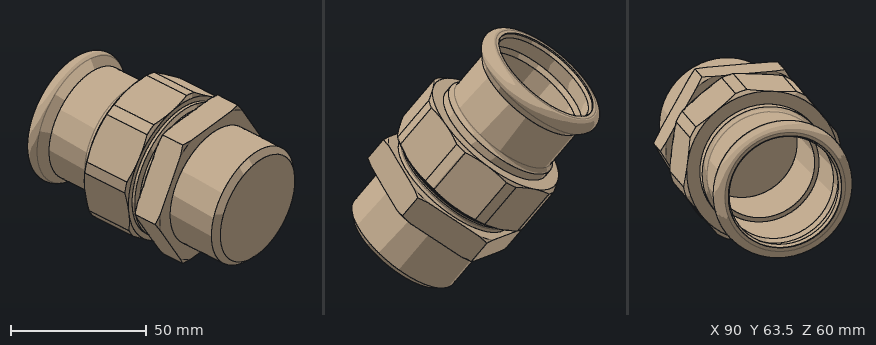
import cadquery as cq
import math

overall_length = 90.0

bead_radius = 3.4
bead_centre_r = 23.0
bead_tangent_angle = math.radians(42)
tube_r = 45.4 / 2
tube_start = 9.0
collar_r = 48.0 / 2
collar_fillet_start = 26.1
collar_start = 28.0

mouth_r = 43.3 / 2
bore_r = 42.3 / 2
stop_r = 39.0 / 2
mouth_length = 0.5
throat_r = 20.9
throat_position = 1.9
undercut_r = 22.3
undercut_end = 7.8
bore_start = 9.8
stop_position = 29.7
floor_position = 54.0

nut_start = 31.1
nut_end = 52.2
nut_apothem = 29.0
nut_corner_r = 30.5
nut_sides = 8
nut_turn = 7.4
nut_chamfer_length = 0.9

flange_r = 53.7 / 2
flange_end = 53.5
neck_r = 49.8 / 2
shoulder_position = 54.45
shoulder_r = 25.2
neck_start = 55.3
neck_end = 55.9
neck_flare_r = 25.4

hex_start = 57.1
hex_end = 67.95
hex_corner_r = 63.5 / 2
hex_sides = 6
hex_chamfer_length = 0.6
hex_chamfer_depth = 1.9

spigot_r = 47.8 / 2
spigot_chamfer = 2.3


def polygon_prism(sides, apothem, start, end, turn):
    """Regular prism along X with a flat facing +Z, then turned about X by `turn` degrees."""
    circumscribed_diameter = 2 * apothem / math.cos(math.pi / sides)
    flat_up = 180 / sides
    base = cq.Workplane("YZ", origin=(start, 0, 0))
    prism = base.polygon(sides, circumscribed_diameter).extrude(end - start)
    return prism.rotate((0, 0, 0), (1, 0, 0), 90 + flat_up + turn)


def chamfered_envelope(start, end, face_r, corner_r, chamfer_length):
    """Round bar with conical ends, used to trim the corners of a prism."""
    outline = [
        (start, 0),
        (start, face_r),
        (start + chamfer_length, corner_r),
        (end - chamfer_length, corner_r),
        (end, face_r),
        (end, 0),
    ]
    return cq.Workplane("XY").polyline(outline).close().revolve(360, (0, 0, 0), (1, 0, 0))


def turned_body():
    """Bead, tube, collar, neck and spigot as one revolved outline."""
    tangent_x = bead_radius + bead_radius * math.sin(bead_tangent_angle)
    tangent_r = bead_centre_r + bead_radius * math.cos(bead_tangent_angle)
    crown_r = bead_centre_r + bead_radius
    outline = (
        cq.Workplane("XY")
        .lineTo(0, bead_centre_r)
        .threePointArc((bead_radius, crown_r), (tangent_x, tangent_r))
        .lineTo(tube_start, tube_r)
        .lineTo(collar_fillet_start, tube_r)
        .tangentArcPoint((collar_start, collar_r), relative=False)
        .lineTo(nut_start, collar_r)
        .lineTo(nut_start, flange_r)
        .lineTo(flange_end, flange_r)
        .lineTo(shoulder_position, shoulder_r)
        .lineTo(neck_start, neck_r)
        .lineTo(neck_end, neck_r)
        .tangentArcPoint((hex_start, neck_flare_r), relative=False)
        .lineTo(hex_start, spigot_r)
        .lineTo(overall_length - spigot_chamfer, spigot_r)
        .lineTo(overall_length, spigot_r - spigot_chamfer)
        .lineTo(overall_length, 0)
        .close()
    )
    return outline.revolve(360, (0, 0, 0), (1, 0, 0))


def socket_bore():
    """Blind bore with a narrow throat, a flared undercut, a lead-in cone and a tube stop."""
    outline = [
        (0, 0),
        (0, mouth_r),
        (mouth_length, mouth_r),
        (throat_position, throat_r),
        (undercut_end, undercut_r),
        (bore_start, bore_r),
        (stop_position, bore_r),
        (stop_position, stop_r),
        (floor_position, stop_r),
        (floor_position, 0),
    ]
    return cq.Workplane("XY").polyline(outline).close().revolve(360, (0, 0, 0), (1, 0, 0))


def union_nut():
    prism = polygon_prism(nut_sides, nut_apothem, nut_start, nut_end, nut_turn)
    envelope = chamfered_envelope(nut_start, nut_end, nut_apothem, nut_corner_r, nut_chamfer_length)
    return prism.intersect(envelope)


def hexagon():
    apothem = hex_corner_r * math.cos(math.pi / hex_sides)
    prism = polygon_prism(hex_sides, apothem, hex_start, hex_end, 0)
    face_r = hex_corner_r - hex_chamfer_depth
    envelope = chamfered_envelope(hex_start, hex_end, face_r, hex_corner_r, hex_chamfer_length)
    return prism.intersect(envelope)


result = turned_body().union(union_nut()).union(hexagon()).cut(socket_bore())